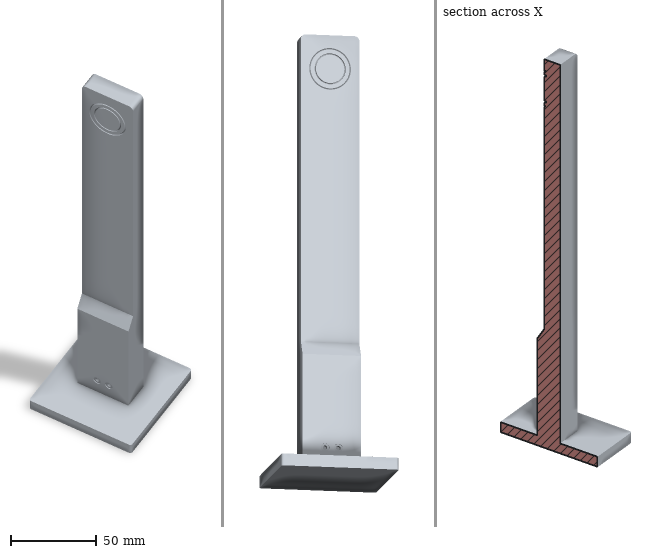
import cadquery as cq

base_side = 70.0
base_thickness = 7.2
base_corner_radius = 1.5

total_height = 265.0
upright_width = 35.0
upright_back_y = 8.2
foot_depth = 17.0
blade_depth = 11.7
step_bottom = 72.5
step_top = 81.0
blade_corner_radius = 3.0

button_height = 244.9
groove_width = 0.8
outer_groove_radius = 12.5
outer_groove_depth = 0.8
inner_groove_radius = 9.3
inner_groove_depth = 1.3

hole_height = 17.0
hole_spacing = 8.0
hole_mouth_radius = 2.52
hole_mouth_depth = 0.5
hole_radius = 1.3
hole_depth = 2.6

foot_front_y = upright_back_y - foot_depth
blade_front_y = upright_back_y - blade_depth


def make_base():
    plate = cq.Workplane("XY").rect(base_side, base_side).extrude(base_thickness)
    return plate.edges("|Z").fillet(base_corner_radius)


def make_upright():
    side_profile = [
        (upright_back_y, base_thickness),
        (upright_back_y, total_height),
        (blade_front_y, total_height),
        (blade_front_y, step_top),
        (foot_front_y, step_bottom),
        (foot_front_y, base_thickness),
    ]
    upright = cq.Workplane("YZ").polyline(side_profile).close().extrude(upright_width / 2, both=True)
    return upright.faces(">Z").edges("|Y").fillet(blade_corner_radius)


def make_outer_groove():
    """V-section ring, revolved about the button axis along Y."""
    v_section = [
        (outer_groove_radius, 0),
        (outer_groove_radius - groove_width / 2, outer_groove_depth),
        (outer_groove_radius - groove_width, 0),
    ]
    groove = cq.Workplane("XY").polyline(v_section).close().revolve(360, (0, 0, 0), (0, 1, 0))
    return groove.translate((0, blade_front_y, button_height))


def make_inner_groove():
    """Square-section ring cut into the blade face."""
    face = cq.Workplane("XZ", origin=(0, blade_front_y, button_height))
    rings = face.circle(inner_groove_radius).circle(inner_groove_radius - groove_width)
    return rings.extrude(-inner_groove_depth)


def make_stepped_hole(x):
    """Shallow wide mouth over a narrower blind hole, cut into the foot face."""
    face = cq.Workplane("XZ", origin=(x, foot_front_y, hole_height))
    mouth = face.circle(hole_mouth_radius).extrude(-hole_mouth_depth)
    bore = face.circle(hole_radius).extrude(-hole_depth)
    return mouth.union(bore)


result = make_base().union(make_upright())
result = result.cut(make_outer_groove()).cut(make_inner_groove())
for hole_x in (-hole_spacing / 2, hole_spacing / 2):
    result = result.cut(make_stepped_hole(hole_x))